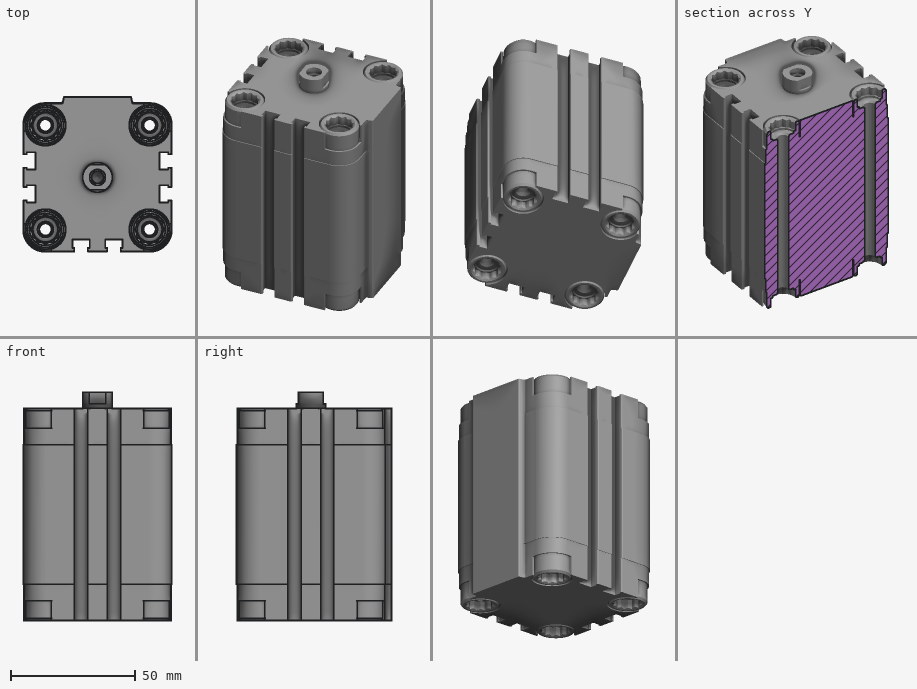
import cadquery as cq
import math


total_height = 92.0
housing_height = 85.5
end_cap_height = 14.6
barrel_height = housing_height - 2 * end_cap_height

barrel_half_width = 30.0
cap_inset = 0.32
cap_half_width = barrel_half_width - cap_inset

pad_face_y = 32.5
pad_top_half_width = 13.5
pad_root_half_width = 14.1
pad_edge_radius = 0.6

slot_offset = 6.6
slot_mouth_width = 5.3
slot_inner_width = 6.8
slot_floor_distance = 25.0
slot_lip_distance = 28.4
slot_mouth_radius = 0.5
slotted_side_angles = (-90, 0, 90)

screw_spacing = 2 * 21.0
screw_head_diameter = 16.0
screw_head_height = 8.0
head_pocket_diameter = 16.5
head_chamfer_width = 0.7
head_chamfer_height = 0.9
corner_step_reach = 2.4
socket_rim_diameter = 12.9
socket_rim_depth = 0.9
socket_point_diameter = 12.0
socket_point_count = 12
socket_depth = 4.1
socket_floor_diameter = 10.1
socket_floor_depth = 5.1
screw_bore_diameter = 4.9
screw_bore_rim_diameter = 6.4

rod_diameter = 12.0
rod_seat_z = housing_height - end_cap_height
wrench_flat_width = 10.0
wrench_flat_height = 4.8
rod_thread_diameter = 4.9
rod_thread_depth = 12.0
rod_counterbore_diameter = 6.4
rod_counterbore_depth = 2.7

cone_slope = 1 / math.tan(math.radians(60))


def cone_drop(outer_diameter, inner_diameter):
    """Depth over which a cone in the rod's end hole narrows from one diameter to another."""
    return (outer_diameter - inner_diameter) / 2 * cone_slope


def revolve_profile(points):
    """Solid of revolution about Z from (radius, z) points."""
    return cq.Workplane("XZ").polyline(points).close().revolve(360, (0, 0, 0), (0, 1, 0))


def t_slot(half_width, height):
    """T-slot cutter for the -Y side, centred on x = 0, with a rounded mouth."""
    mouth = slot_mouth_width / 2
    inner = slot_inner_width / 2
    face_y = -half_width
    round_end_y = face_y + slot_mouth_radius
    arc_gap = slot_mouth_radius * (1 - math.sqrt(0.5))
    return (
        cq.Workplane("XY")
        .moveTo(-mouth - slot_mouth_radius, face_y)
        .threePointArc((-mouth - arc_gap, face_y + arc_gap), (-mouth, round_end_y))
        .lineTo(-mouth, -slot_lip_distance)
        .lineTo(-inner, -slot_lip_distance)
        .lineTo(-inner, -slot_floor_distance)
        .lineTo(inner, -slot_floor_distance)
        .lineTo(inner, -slot_lip_distance)
        .lineTo(mouth, -slot_lip_distance)
        .lineTo(mouth, round_end_y)
        .threePointArc((mouth + arc_gap, face_y + arc_gap), (mouth + slot_mouth_radius, face_y))
        .close()
        .extrude(height)
    )


def housing_section(half_width, height):
    """Length of housing profile: rounded square with the +Y pad and the T-slots."""
    section = (
        cq.Workplane("XY")
        .rect(2 * half_width, 2 * half_width)
        .extrude(height)
        .edges("|Z")
        .fillet(half_width - screw_spacing / 2)
    )
    pad = (
        cq.Workplane("XY")
        .polyline([
            (-pad_root_half_width, 0),
            (-pad_root_half_width, half_width),
            (-pad_top_half_width, pad_face_y),
            (pad_top_half_width, pad_face_y),
            (pad_root_half_width, half_width),
            (pad_root_half_width, 0),
        ])
        .close()
        .extrude(height)
    )
    section = section.union(pad)
    pad_edges = cq.selectors.BoxSelector(
        (-screw_spacing / 2 + pad_edge_radius, half_width - pad_edge_radius, 0),
        (screw_spacing / 2 - pad_edge_radius, pad_face_y + pad_edge_radius, height),
    )
    section = section.edges("|Z").edges(pad_edges).fillet(pad_edge_radius)

    slot = t_slot(half_width, height)
    for angle in slotted_side_angles:
        for offset in (-slot_offset, slot_offset):
            placed_slot = slot.translate((offset, 0, 0)).rotate((0, 0, 0), (0, 0, 1), angle)
            section = section.cut(placed_slot)
    return section


def corner_step(sign_x, sign_y):
    """Clearance around one screw head at the top end: a round pocket open to the housing corner."""
    center_x = sign_x * screw_spacing / 2
    center_y = sign_y * screw_spacing / 2
    step_size = 2 * screw_head_diameter
    shift = step_size / 2 - corner_step_reach
    step_floor_z = housing_height - screw_head_height
    block = (
        cq.Workplane("XY", origin=(center_x + sign_x * shift, center_y + sign_y * shift, step_floor_z))
        .rect(step_size, step_size)
        .extrude(screw_head_height)
    )
    head = (
        cq.Workplane("XY", origin=(center_x, center_y, step_floor_z))
        .circle(screw_head_diameter / 2)
        .extrude(screw_head_height)
    )
    pocket = (
        cq.Workplane("XY", origin=(center_x, center_y, step_floor_z))
        .circle(head_pocket_diameter / 2)
        .extrude(screw_head_height)
    )
    return block.union(pocket).cut(head)


def head_groove():
    """Ring cutter that bevels the rim of a screw head; the head face lies at z = 0."""
    head_radius = screw_head_diameter / 2
    return revolve_profile([
        (head_radius, 0),
        (head_radius, -head_chamfer_height),
        (head_radius - head_chamfer_width, 0),
    ])


def screw_socket():
    """Twelve-point socket cutter with conical rim and 45 degree bore mouth; the head face lies at z = 0."""
    point_radius = socket_point_diameter / 2
    step_angle = math.pi / socket_point_count
    notch_radius = point_radius * math.cos(2 * step_angle) / math.cos(step_angle)
    star = []
    for index in range(2 * socket_point_count):
        radius = notch_radius if index % 2 else point_radius
        star.append((radius * math.cos(index * step_angle), radius * math.sin(index * step_angle)))
    points = cq.Workplane("XY").polyline(star).close().extrude(-socket_depth)

    rim_radius = socket_rim_diameter / 2
    floor_radius = socket_floor_diameter / 2
    bore_rim_radius = screw_bore_rim_diameter / 2
    bore_radius = screw_bore_diameter / 2
    bore_drop = bore_rim_radius - bore_radius
    recess = revolve_profile([
        (0, 0),
        (rim_radius, 0),
        (floor_radius, -socket_rim_depth),
        (floor_radius, -socket_floor_depth),
        (bore_rim_radius, -socket_floor_depth),
        (bore_radius, -socket_floor_depth - bore_drop),
        (0, -socket_floor_depth - bore_drop),
    ])
    return recess.union(points)


def make_housing():
    """Barrel, two end caps and four corner screws with heads at both ends."""
    cap = housing_section(cap_half_width, end_cap_height)
    barrel = housing_section(barrel_half_width, barrel_height)
    body = (
        barrel.translate((0, 0, end_cap_height))
        .union(cap)
        .union(cap.translate((0, 0, end_cap_height + barrel_height)))
    )

    groove = head_groove()
    socket = screw_socket()
    mid_plane = (0, 0, housing_height / 2)
    for sign_x in (-1, 1):
        for sign_y in (-1, 1):
            head_center = (sign_x * screw_spacing / 2, sign_y * screw_spacing / 2, housing_height)
            end_cutters = [
                corner_step(sign_x, sign_y),
                groove.translate(head_center),
                socket.translate(head_center),
            ]
            for cutter in end_cutters:
                body = body.cut(cutter)
                body = body.cut(cutter.mirror("XY", mid_plane))

    screw_bores = (
        cq.Workplane("XY")
        .rect(screw_spacing, screw_spacing, forConstruction=True)
        .vertices()
        .circle(screw_bore_diameter / 2)
        .extrude(housing_height)
    )
    rod_bore = (
        cq.Workplane("XY", origin=(0, 0, rod_seat_z))
        .circle(rod_diameter / 2)
        .extrude(end_cap_height)
    )
    return body.cut(screw_bores).cut(rod_bore)


def make_rod():
    """Piston rod seated in the upper end cap, with two wrench flats and a threaded end hole."""
    rod = (
        cq.Workplane("XY", origin=(0, 0, rod_seat_z))
        .circle(rod_diameter / 2)
        .extrude(total_height - rod_seat_z)
    )

    flats = (
        cq.Workplane("XY", origin=(0, 0, total_height - wrench_flat_height))
        .rect(2 * rod_diameter, 2 * rod_diameter)
        .rect(2 * rod_diameter, wrench_flat_width)
        .extrude(wrench_flat_height)
    )

    counterbore_radius = rod_counterbore_diameter / 2
    thread_radius = rod_thread_diameter / 2
    counterbore_z = total_height - rod_counterbore_depth
    thread_start_z = counterbore_z - cone_drop(rod_counterbore_diameter, rod_thread_diameter)
    thread_end_z = total_height - rod_thread_depth
    end_hole = revolve_profile([
        (0, total_height),
        (counterbore_radius, total_height),
        (counterbore_radius, counterbore_z),
        (thread_radius, thread_start_z),
        (thread_radius, thread_end_z),
        (0, thread_end_z - cone_drop(rod_thread_diameter, 0)),
    ])
    return rod.cut(flats).cut(end_hole)


housing = make_housing()
rod = make_rod()

result = cq.Compound.makeCompound([housing.val(), rod.val()])